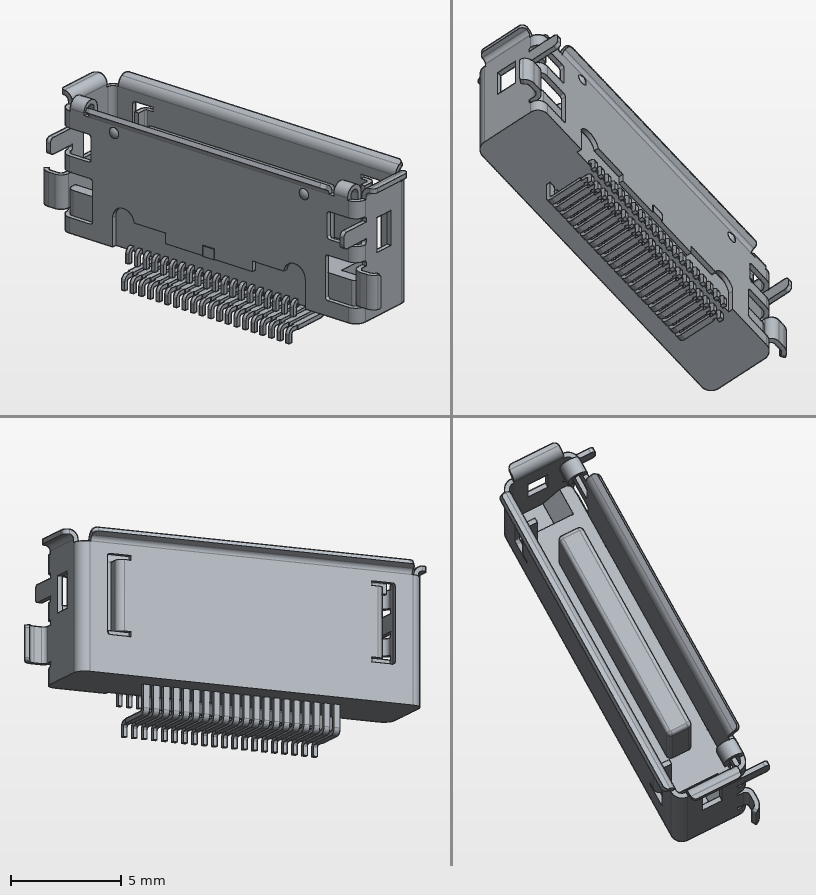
import cadquery as cq
import math

sheet = 0.23
shell_length = 17.2
shell_depth = 3.73
shell_top = 6.07
lip_top = 6.67
corner_radius = 0.55
floor_top = 2.05

cut_margin = 0.2

half_length = shell_length / 2
half_depth = shell_depth / 2
inner_half_length = half_length - sheet
inner_half_depth = half_depth - sheet
inner_corner_radius = corner_radius - sheet

long_lip_reach = 0.4
long_lip_angle = 60
long_lip_radius = 0.3
long_lip_corner = 0.23
rear_lip_length = 16.03
front_lip_length = 13.87
side_lip_length = 2.55
side_lip_reach = 0.47
side_lip_radius = 0.23
side_lip_corner = 0.25

hook_outer_x = 8.01
hook_width = 0.8
hook_radius = 0.49
hook_end_z = 5.74

upper_opening = (3.83, 5.21, 6.83)
lower_opening = (0.78, 3.03, 6.73)
opening_rear_y = -1.25
opening_radius = 0.14

tab_bottom = 4.1
tab_top = 4.95
tab_tip_y = -2.88
tab_tip_radius = 0.23
ear_bottom = 1.05
ear_top = 2.76
ear_tip_x = 9.72
ear_front_y = -1.98
ear_wall_radius = 0.21
ear_flat = 0.37
ear_curl_radius = 0.31
ear_curl_angle = 60
ear_tip_radius = 0.15

side_window_rear_y = 0.56
side_window_front_y = -0.45
side_window_bottom = 3.15
side_window_top = 4.88

rear_window_inner_x = 6.01
rear_window_outer_x = 7.18
rear_window_bottom = 1.8
rear_window_top = 5.58
rear_window_radius = 0.15
rear_tongue_top = 5.37
rear_tongue_face_x = 6.42
rear_tongue_radius = 0.1
rear_tongue_tip_y = 1.1

dimple_x = 5.48
dimple_z = 5.68
dimple_radius = 0.27
dimple_height = 0.12
cutout_half_width = 5.56
lobe_radius = 0.62
lobe_center_z = 1.45
step_high_z = 1.54
step_low_z = 1.01
step_half_width = 2.5
boss_half_width = 0.33
boss_height = 0.05

pocket_inner_x = 7.02
pocket_floor = 1.19
ramp_top_y = -1.05
ramp_foot_y = -0.2
blade_length = 10.81
blade_depth = 1.23
blade_top = 5.3
blade_corner_radius = 0.21
blade_top_radius = 0.2

pins_per_row = 20
pin_row_length = 9.5
pin_pitch = pin_row_length / (pins_per_row - 1)
pin_sheet = 0.21
pin_width = 0.2
rear_pin_width = 0.31
pin_bend_radius = 0.1
pin_root_depth = 0.2
pin_front_y = -1.98
front_pin_top = 0.25
front_pin_bottom = -0.53
rear_pin_y = 0.56
rear_pin_low_z = -1.4
rear_pin_bottom = -1.93
rear_pin_shoulder_y = -1.4


def box(x0, x1, y0, y1, z0, z1):
    """Axis-aligned box between two corners."""
    return cq.Workplane("XY").box(x1 - x0, y1 - y0, z1 - z0, centered=False).translate((x0, y0, z0))


def bent_strip(plane, width, thickness, start, heading, steps):
    """Bent sheet strip: its profile follows a centre line, and it is extruded by its width.

    A step is ("straight", length) or ("bend", inner radius, turn in degrees, left positive).
    """
    half = thickness / 2
    x, y = start
    angle = math.radians(heading)

    def skin(px, py, direction, side):
        """Point on the left (+1) or right (-1) skin of the sheet beside a centre-line point."""
        return px - side * half * math.sin(direction), py + side * half * math.cos(direction)

    stations = [(None, (x, y, angle))]
    for step in steps:
        middle = None
        if step[0] == "straight":
            x += step[1] * math.cos(angle)
            y += step[1] * math.sin(angle)
        else:
            turn = math.radians(step[2])
            radius = math.copysign(step[1] + half, turn)
            center_x = x - radius * math.sin(angle)
            center_y = y + radius * math.cos(angle)
            mid_angle = angle + turn / 2
            angle += turn
            mid_x = center_x + radius * math.sin(mid_angle)
            mid_y = center_y - radius * math.cos(mid_angle)
            middle = (mid_x, mid_y, mid_angle)
            x = center_x + radius * math.sin(angle)
            y = center_y - radius * math.cos(angle)
        stations.append((middle, (x, y, angle)))

    def add_piece(outline, middle, end, side):
        if middle is None:
            return outline.lineTo(*skin(*end, side))
        return outline.threePointArc(skin(*middle, side), skin(*end, side))

    outline = cq.Workplane(plane).moveTo(*skin(*stations[0][1], 1))
    for middle, end in stations[1:]:
        outline = add_piece(outline, middle, end, 1)
    outline = outline.lineTo(*skin(*stations[-1][1], -1))
    for index in range(len(stations) - 1, 0, -1):
        outline = add_piece(outline, stations[index][0], stations[index - 1][1], -1)
    return outline.close().extrude(width)


def both_sides(left_part):
    """The given part together with its mirror image across the middle plane X = 0."""
    return left_part.union(left_part.mirror("YZ"))


def rounded_prism(length, depth, radius, z0, z1):
    """Upright rounded rectangle centred on the Z axis."""
    return box(-length / 2, length / 2, -depth / 2, depth / 2, z0, z1).edges("|Z").fillet(radius)


def shell_cavity(height):
    """Space enclosed by the shell walls, up to the given height."""
    return rounded_prism(2 * inner_half_length, 2 * inner_half_depth, inner_corner_radius, 0, height)


def shell_tube():
    """Plain tube of the shell before openings and lips."""
    outer = rounded_prism(shell_length, shell_depth, corner_radius, 0, shell_top)
    return outer.cut(shell_cavity(shell_top))


def corner_opening(opening):
    """Opening wrapping around the front left corner, slot-ended on the short wall."""
    bottom, top, inboard_x = opening
    cutter = box(-half_length - cut_margin, -inboard_x, -half_depth - cut_margin, opening_rear_y,
                 bottom, top)
    cutter = cutter.edges(">X and |Y").fillet(opening_radius)
    return cutter.edges(">Y and |X").fillet(opening_radius)


def side_window():
    return box(-half_length - cut_margin, -inner_half_length + cut_margin,
               side_window_front_y, side_window_rear_y, side_window_bottom, side_window_top)


def rear_window():
    window = box(-rear_window_outer_x, -rear_window_inner_x,
                 inner_half_depth - cut_margin, half_depth + cut_margin, rear_window_bottom, rear_window_top)
    return window.edges("<X and |Y").fillet(rear_window_radius)


def front_cutout():
    """Lower cut-out of the front wall: a stepped outline with a round lobe at each end."""
    lobe_center_x = cutout_half_width - lobe_radius
    lobe_inner_x = lobe_center_x - math.sqrt(lobe_radius**2 - (step_high_z - lobe_center_z)**2)
    lobe_peak = (lobe_center_x, lobe_center_z + lobe_radius)
    outline = (
        cq.Workplane("XZ", origin=(0, -inner_half_depth, 0))
        .moveTo(0, -cut_margin)
        .lineTo(cutout_half_width, -cut_margin)
        .lineTo(cutout_half_width, lobe_center_z)
        .threePointArc(lobe_peak, (lobe_inner_x, step_high_z))
        .lineTo(step_half_width, step_high_z)
        .lineTo(step_half_width, step_low_z)
        .lineTo(0, step_low_z)
        .close()
    )
    return both_sides(outline.extrude(2 * sheet))


def long_lip(length):
    """Lip flaring outward (-Y) from the front wall."""
    angle = math.radians(long_lip_angle)
    tip = (long_lip_reach - long_lip_radius * (1 - math.cos(angle))) / math.sin(angle)
    lip = bent_strip("YZ", length, sheet, (-half_depth + sheet / 2, shell_top), 90,
                     [("bend", long_lip_radius, long_lip_angle), ("straight", tip)])
    across_tip = cq.Vector(0, math.cos(angle), math.sin(angle))
    lip = lip.edges(cq.ParallelDirSelector(across_tip)).fillet(long_lip_corner)
    return lip.translate((-length / 2, 0, 0))


def side_lip():
    rise = lip_top - shell_top - side_lip_radius - sheet
    lip = bent_strip("XZ", side_lip_length, sheet, (-half_length + sheet / 2, shell_top), 90,
                     [("straight", rise), ("bend", side_lip_radius, 90),
                      ("straight", side_lip_reach - side_lip_radius)])
    lip = lip.edges("<X and |Z").fillet(side_lip_corner)
    return lip.translate((0, side_lip_length / 2, 0))


def hook():
    """Tab of the front wall rolled over inward through half a turn."""
    center_z = lip_top - hook_radius
    strip = bent_strip("YZ", hook_width, sheet, (-half_depth + sheet / 2, shell_top), 90,
                       [("straight", center_z - shell_top), ("bend", hook_radius - sheet, -180),
                        ("straight", center_z - hook_end_z)])
    return strip.translate((-hook_outer_x, 0, 0))


def locating_tab():
    tab = box(-half_length, -inner_half_length, tab_tip_y, opening_rear_y, tab_bottom, tab_top)
    return tab.edges("<Y and |X").fillet(tab_tip_radius)


def spring_ear():
    """Ear bent outward from the short wall and curled back at its tip."""
    wall_end_y = ear_front_y + sheet + ear_wall_radius
    curl_angle = math.radians(ear_curl_angle)
    curl_start_x = half_length + ear_wall_radius + ear_flat
    curl_end_x = curl_start_x + (ear_curl_radius + sheet) * math.sin(curl_angle)
    tip = (ear_tip_x - curl_end_x) / math.cos(curl_angle)
    ear = bent_strip("XY", ear_top - ear_bottom, sheet, (-half_length + sheet / 2, opening_rear_y), -90,
                     [("straight", opening_rear_y - wall_end_y), ("bend", ear_wall_radius, -90),
                      ("straight", ear_flat), ("bend", ear_curl_radius, -ear_curl_angle), ("straight", tip)])
    across_tip = cq.Vector(math.sin(curl_angle), math.cos(curl_angle), 0)
    ear = ear.edges(cq.ParallelDirSelector(across_tip)).fillet(ear_tip_radius)
    return ear.translate((0, 0, ear_bottom))


def rear_tongue():
    """Tongue hinged on the inboard edge of a rear window and bent into the shell."""
    bend_end_x = rear_tongue_face_x - rear_tongue_radius
    tongue = bent_strip("XY", rear_tongue_top - floor_top, sheet,
                        (-rear_window_inner_x, half_depth - sheet / 2), 180,
                        [("straight", bend_end_x - rear_window_inner_x), ("bend", rear_tongue_radius, 90),
                         ("straight", inner_half_depth - rear_tongue_radius - rear_tongue_tip_y)])
    return tongue.translate((0, 0, floor_top))


def dimple():
    """Shallow spherical cap on the front wall."""
    sphere_radius = (dimple_radius**2 + dimple_height**2) / (2 * dimple_height)
    center_y = -half_depth - dimple_height + sphere_radius
    ball = cq.Workplane("XY").sphere(sphere_radius).translate((-dimple_x, center_y, dimple_z))
    keep = box(-half_length, 0, -half_depth - sheet, -half_depth + sheet / 2, 0, lip_top)
    return ball.intersect(keep)


def corner_pocket():
    """Pocket in the left end of the insulator with a ramp rising toward the front."""
    return (
        cq.Workplane("YZ", origin=(-inner_half_length, 0, 0))
        .moveTo(ramp_top_y, floor_top)
        .lineTo(ramp_foot_y, pocket_floor)
        .lineTo(inner_half_depth, pocket_floor)
        .lineTo(inner_half_depth, floor_top)
        .close()
        .extrude(inner_half_length - pocket_inner_x)
    )


def insulator():
    body = shell_cavity(floor_top).cut(both_sides(corner_pocket()))
    blade = rounded_prism(blade_length, blade_depth, blade_corner_radius, floor_top, blade_top)
    return body.union(blade.faces(">Z").edges().fillet(blade_top_radius))


def front_pin():
    """Short pin leaving the insulator forward and bending down; centred on X = 0."""
    bend_outer = pin_bend_radius + pin_sheet
    root_y = -inner_half_depth + pin_root_depth
    pin = bent_strip("YZ", pin_width, pin_sheet, (root_y, front_pin_top - pin_sheet / 2), 180,
                     [("straight", root_y - pin_front_y - bend_outer), ("bend", pin_bend_radius, 90),
                      ("straight", front_pin_top - bend_outer - front_pin_bottom)])
    return pin.translate((-pin_width / 2, 0, 0))


def rear_pin():
    """Long pin dropping from the insulator, running forward and bending down; centred on X = 0."""
    bend_outer = pin_bend_radius + pin_sheet
    run_top = rear_pin_low_z + pin_sheet
    pin = bent_strip("YZ", rear_pin_width, pin_sheet, (rear_pin_y - pin_sheet / 2, pin_root_depth), -90,
                     [("straight", pin_root_depth - rear_pin_low_z - bend_outer),
                      ("bend", pin_bend_radius, -90),
                      ("straight", rear_pin_y - pin_front_y - 2 * bend_outer), ("bend", pin_bend_radius, 90),
                      ("straight", run_top - bend_outer - rear_pin_bottom)])
    pin = pin.translate((-rear_pin_width / 2, 0, 0))
    wide_end = box(-rear_pin_width, rear_pin_width, rear_pin_shoulder_y, rear_pin_y,
                   rear_pin_bottom, pin_root_depth)
    narrow_end = box(-pin_width / 2, pin_width / 2, pin_front_y, rear_pin_shoulder_y,
                     rear_pin_bottom, pin_root_depth)
    return pin.intersect(wide_end.union(narrow_end))


def pin_row(pin, offset):
    """One row of equal pins, shifted by the offset from the middle of the part."""
    first_x = offset - pin_row_length / 2
    centers = [(first_x + index * pin_pitch, 0) for index in range(pins_per_row)]
    return cq.Workplane("XY").pushPoints(centers).eachpoint(pin.val(), combine=False).combine()


shell = shell_tube().cut(front_cutout())
for cutter in (corner_opening(upper_opening), corner_opening(lower_opening), side_window(), rear_window()):
    shell = shell.cut(both_sides(cutter))

shell = shell.union(long_lip(front_lip_length))
shell = shell.union(long_lip(rear_lip_length).rotate((0, 0, 0), (0, 0, 1), 180))
for feature in (side_lip(), hook(), locating_tab(), spring_ear(), rear_tongue(), dimple()):
    shell = shell.union(both_sides(feature))

front_boss = box(-boss_half_width, boss_half_width, -half_depth - boss_height, -half_depth + boss_height,
                 step_low_z, step_high_z)
shell = shell.union(front_boss)

result = shell.union(insulator())
result = result.union(pin_row(front_pin(), pin_pitch / 4))
result = result.union(pin_row(rear_pin(), -pin_pitch / 4))